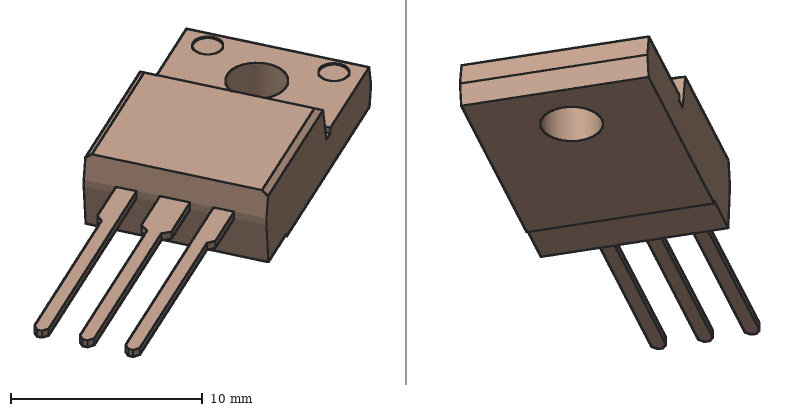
import cadquery as cq

total_length = 29.47
body_width = 10.17
body_height = 4.7
body_length = 15.85

flange_height = 2.55
flange_top_inset = 0.3
flange_bottom_inset = 0.25
flange_ridge_z = 1.25
hole_diameter = 3.27
hole_from_back = 3.48
mark_diameter = 1.62
mark_depth = 0.1
mark_offset_x = 3.5
mark_from_back = 1.35

groove_start = 6.15
groove_end = 6.78
groove_depth = 0.35

housing_back_shoulder = 7.28
housing_top_start = 7.63
top_bevel_height = 0.27
top_bevel_width = 0.35
front_inset = 0.3
bottom_step_start = 12.82
bottom_step_height = 0.18

lead_pitch = 2.53
lead_width = 0.8
lead_thickness = 0.45
lead_bottom_z = 2.7
lead_root_length = 2.83
lead_taper_length = 0.32
center_shoulder = 0.45
outer_shoulder = 0.35
tip_length = 0.3
tip_width = 0.27
lead_embed = 0.6


def make_body():
    """Side profile extruded across the width, with bevelled top side edges."""
    lead_top_z = lead_bottom_z + lead_thickness
    groove_floor_z = flange_height - groove_depth
    shoulder_z = body_height - top_bevel_height
    front_edge = body_length - front_inset
    profile = [
        (-flange_bottom_inset, 0),
        (0, flange_ridge_z),
        (-flange_top_inset, flange_height),
        (-groove_start, flange_height),
        (-groove_start, groove_floor_z),
        (-groove_end, groove_floor_z),
        (-housing_back_shoulder, shoulder_z),
        (-housing_top_start, body_height),
        (-front_edge, body_height),
        (-body_length, lead_top_z),
        (-body_length, lead_bottom_z),
        (-front_edge, bottom_step_height),
        (-bottom_step_start, bottom_step_height),
        (-bottom_step_start, 0),
    ]
    body = cq.Workplane("YZ").polyline(profile).close().extrude(body_width / 2, both=True)

    half_width = body_width / 2
    bevelled_section = [
        (-half_width, 0),
        (half_width, 0),
        (half_width, shoulder_z),
        (half_width - top_bevel_width, body_height),
        (-half_width + top_bevel_width, body_height),
        (-half_width, shoulder_z),
    ]
    envelope = cq.Workplane("XZ").polyline(bevelled_section).close().extrude(body_length)
    return body.intersect(envelope)


def cut_flange(body):
    """Cut the mounting hole and the two shallow round marks."""
    hole = (
        cq.Workplane("XY")
        .center(0, -hole_from_back)
        .circle(hole_diameter / 2)
        .extrude(flange_height)
    )
    marks = (
        cq.Workplane("XY", origin=(0, 0, flange_height - mark_depth))
        .pushPoints([(side * mark_offset_x, -mark_from_back) for side in (-1, 1)])
        .circle(mark_diameter / 2)
        .extrude(mark_depth)
    )
    return body.cut(hole).cut(marks)


def extrude_lead_outline(outline):
    """Extrude a closed plan outline through the lead thickness."""
    plane = cq.Workplane("XY", origin=(0, 0, lead_bottom_z))
    return plane.polyline(outline).close().extrude(lead_thickness)


def make_lead(center_x, left_shoulder, right_shoulder):
    """Straight pointed strip, widened at its root by a shoulder on one or both sides."""
    root_start = -body_length + lead_embed
    root_end = -body_length - lead_root_length
    taper_end = root_end - lead_taper_length
    tip_start = -total_length + tip_length
    half_width = lead_width / 2
    lead = extrude_lead_outline([
        (center_x - half_width, root_start),
        (center_x + half_width, root_start),
        (center_x + half_width, tip_start),
        (center_x + tip_width / 2, -total_length),
        (center_x - tip_width / 2, -total_length),
        (center_x - half_width, tip_start),
    ])
    for side, shoulder in ((-1, left_shoulder), (1, right_shoulder)):
        if shoulder > 0:
            strip_edge = center_x + side * half_width
            root_edge = strip_edge + side * shoulder
            lead = lead.union(extrude_lead_outline([
                (center_x, root_start),
                (root_edge, root_start),
                (root_edge, root_end),
                (strip_edge, taper_end),
                (center_x, taper_end),
            ]))
    return lead.clean()


result = cut_flange(make_body())
lead_layout = [
    (-lead_pitch, outer_shoulder, 0),
    (0, center_shoulder, center_shoulder),
    (lead_pitch, 0, outer_shoulder),
]
for center_x, left_shoulder, right_shoulder in lead_layout:
    result = result.union(make_lead(center_x, left_shoulder, right_shoulder))